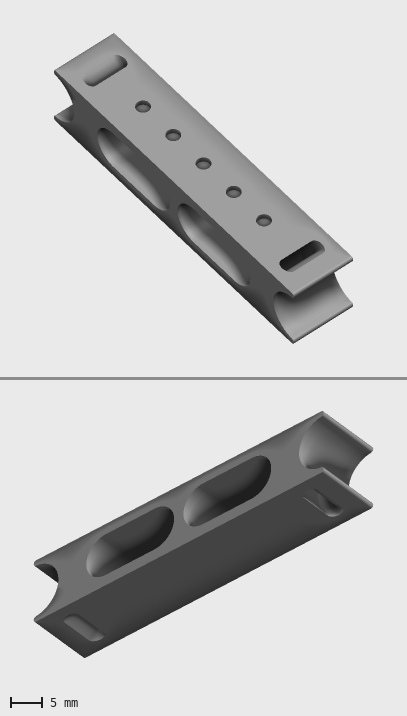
import cadquery as cq

length = 59.5
width = 12.0
height = 12.2

hollow_radius = 5.05
lip_fillet = 0.5

channel_thickness = 1.95
channel_inner_radius = 7.15
channel_span = 8.0

window_length = 18.0
window_height = 8.1
window_pitch = 19.95

hole_count = 5
hole_diameter = 2.5
hole_pitch = 7.5
hole_depth = 1.0

end_centres = (-length / 2, length / 2)


def make_body():
    """Block with a rounded-lipped half-round hollow at each end."""
    body = cq.Workplane("XY").box(length, width, height)
    hollows = (
        cq.Workplane("XZ")
        .pushPoints([(x, 0) for x in end_centres])
        .circle(hollow_radius)
        .extrude(width, both=True)
    )
    body = body.cut(hollows)
    return body.edges("<X or >X").edges("|Y").fillet(lip_fillet)


def make_windows():
    """Two obround cutters side by side along the length."""
    return (
        cq.Workplane("XZ")
        .pushPoints([(-window_pitch / 2, 0), (window_pitch / 2, 0)])
        .slot2D(window_length, window_height)
        .extrude(width, both=True)
    )


def make_channel(end_x):
    """Ring of obround section around the hollow axis at one end."""
    middle_radius = channel_inner_radius + channel_thickness / 2
    return (
        cq.Workplane("XY", origin=(end_x, 0, 0))
        .center(middle_radius, 0)
        .slot2D(channel_span, channel_thickness, 90)
        .revolve(360, (-middle_radius, 0), (-middle_radius, 1))
    )


def make_holes():
    """Row of blind cutters going down from the top face."""
    return (
        cq.Workplane("XY", origin=(0, 0, height / 2))
        .rarray(hole_pitch, 0.6, hole_count, 1)
        .circle(hole_diameter / 2)
        .extrude(-hole_depth)
    )


result = make_body().cut(make_windows()).cut(make_holes())
for end_centre in end_centres:
    result = result.cut(make_channel(end_centre))